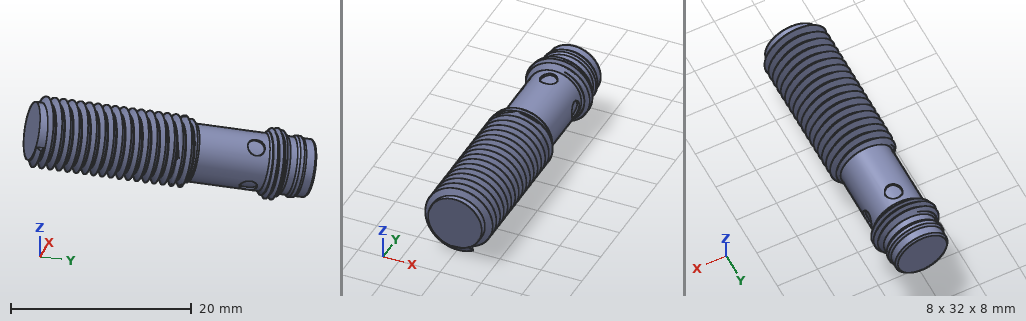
import cadquery as cq
import math

length = 32.0
body_radius = 3.25
end_chamfer = 0.22

ring_radius = 3.45
ring_bottom = 29.75
ring_top = 30.8
ring_bevel = 0.3

crest_radius = 4.0
crest_flat = 0.025
flank_angle = 30.0
root_overlap = 0.05
envelope_margin = 0.32

long_turns = 16
long_turns_span = 16.0
long_pitch = long_turns_span / long_turns
long_start_angle = 60.0
long_crest_at_x = 0.32
long_top = 18.43

short_pitch = 0.7
short_root_radius = 3.5
short_bottom = 26.55
short_top = 28.95
short_crest_at_x = 25.82

window_count = 4
window_radius = 1.0
window_depth = 0.25
window_height = 25.0


def revolve_profile(points):
    """Revolve an outline of (radius, height) points about the Z axis."""
    return cq.Workplane("XZ").polyline(points).close().revolve(360, (0, 0), (0, 1))


def thread_ridge(root_radius, pitch, start_height, start_angle, end_height):
    """Helical ridge whose triangular section is sunk slightly into the core."""
    half_crest = crest_flat / 2
    inner_radius = root_radius - root_overlap
    half_base = half_crest + (crest_radius - inner_radius) * math.tan(math.radians(flank_angle))
    section = [
        (inner_radius, start_height - half_base),
        (crest_radius, start_height - half_crest),
        (crest_radius, start_height + half_crest),
        (inner_radius, start_height + half_base),
    ]
    helix = cq.Wire.makeHelix(pitch, end_height - start_height, inner_radius)
    helix = helix.translate(cq.Vector(0, 0, start_height))
    ridge = cq.Workplane("XZ").polyline(section).close().sweep(cq.Workplane(helix), isFrenet=True)
    return ridge.rotate((0, 0, 0), (0, 0, 1), start_angle)


def make_body():
    ring = revolve_profile([
        (0, ring_bottom),
        (body_radius, ring_bottom),
        (ring_radius, ring_bottom + ring_bevel),
        (ring_radius, ring_top - ring_bevel),
        (body_radius, ring_top),
        (0, ring_top),
    ])
    shaft = cq.Workplane("XY").circle(body_radius).extrude(length)
    return shaft.faces(">Z").chamfer(end_chamfer).union(ring)


def make_long_thread():
    start = long_crest_at_x + long_pitch * long_start_angle / 360
    ridge = thread_ridge(body_radius, long_pitch, start, long_start_angle, long_top + long_pitch)
    taper = crest_radius - body_radius
    envelope_radius = crest_radius + envelope_margin
    envelope = revolve_profile([
        (0, -long_pitch),
        (envelope_radius, -long_pitch),
        (envelope_radius, long_top - taper - envelope_margin),
        (body_radius - envelope_margin, long_top + envelope_margin),
        (0, long_top + envelope_margin),
    ])
    return ridge.intersect(envelope)


def make_short_thread():
    core = cq.Workplane("XY").circle(short_root_radius).extrude(length)
    ridge = thread_ridge(short_root_radius, short_pitch, short_crest_at_x, 0, short_top + short_pitch)
    taper = crest_radius + envelope_margin - body_radius
    envelope = revolve_profile([
        (0, short_bottom),
        (body_radius, short_bottom),
        (body_radius + taper, short_bottom + taper),
        (body_radius + taper, short_top - taper),
        (body_radius, short_top),
        (0, short_top),
    ])
    return core.union(ridge).intersect(envelope)


def make_windows():
    """Shallow round recesses whose floors follow the curve of the body."""
    floor = cq.Workplane("XY").circle(body_radius - window_depth).extrude(length)
    window = cq.Workplane("YZ").center(0, window_height).circle(window_radius).extrude(crest_radius)
    window = window.cut(floor).solids(">X")
    windows = cq.Workplane("XY")
    for index in range(window_count):
        windows = windows.add(window.rotate((0, 0, 0), (0, 0, 1), index * 360 / window_count))
    return windows.combine()


result = make_body().union(make_long_thread()).union(make_short_thread()).cut(make_windows())
result = result.rotate((0, 0, 0), (1, 0, 0), -90)